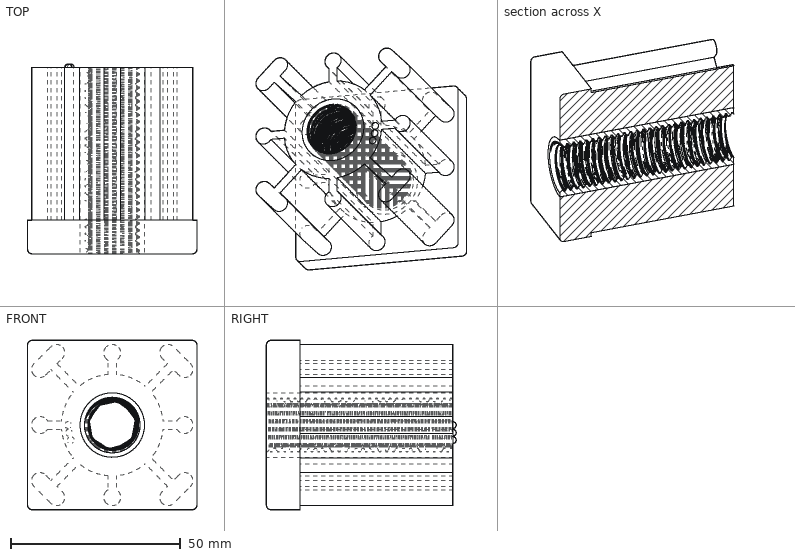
import cadquery as cq
import math


CAP_SIDE = 50.0
CAP_DEPTH = 10.0
CAP_FILLET = 1.5

PLUG_LENGTH = 45.0
PLUG_SIDE = 47.5
HUB_DIAMETER = 30.0
RIB_THICKNESS = 2.5
RIB_BEAD_RADIUS = 2.5
ARM_THICKNESS = 2.5
CORNER_BEAD_RADIUS = 2.4
CORNER_BEAD_SPACING = 7.0

DOT_RADIUS = 1.0
DOT_CIRCLE_RADIUS = 13.0
DOT_COUNT = 3
DOT_STEP_ANGLE = 10.0

INSERT_DIAMETER = 19.0
THREAD_MAJOR_DIAMETER = 16.0
THREAD_MINOR_DIAMETER = 13.9
THREAD_PITCH = 2.0
THREAD_CREST_FLAT = THREAD_PITCH / 4
THREAD_ROOT_FLAT = THREAD_PITCH / 8
FLANK_POINTS = 4
COUNTERSINK_DIAMETER = 16.4

TOTAL_LENGTH = CAP_DEPTH + PLUG_LENGTH
HALF_PLUG = PLUG_SIDE / 2
SIDES = 4
SIDE_ANGLE = 360 / SIDES


def y_cylinder(diameter, start, length):
    """Cylinder along the Y axis from y = start."""
    return cq.Workplane("XZ", origin=(0, start, 0)).circle(diameter / 2).extrude(-length)


def turned(shape, angle):
    """Copy of a shape turned about the Y axis."""
    return shape.rotate((0, 0, 0), (0, 1, 0), angle)


def make_cap():
    """Square plate with rounded corners and a rounded front edge."""
    cap = cq.Workplane("XZ").rect(CAP_SIDE, CAP_SIDE).extrude(-CAP_DEPTH)
    return cap.edges("|Y or <Y").fillet(CAP_FILLET)


def plug_profile():
    """Sketch plane on the back of the cap."""
    return cq.Workplane("XZ", origin=(0, CAP_DEPTH, 0))


def make_side_rib():
    """Thin radial wall towards +Z, ending in a round bead."""
    bead_height = HALF_PLUG - RIB_BEAD_RADIUS
    wall = plug_profile().center(0, bead_height / 2).rect(RIB_THICKNESS, bead_height).extrude(-PLUG_LENGTH)
    bead = plug_profile().center(0, bead_height).circle(RIB_BEAD_RADIUS).extrude(-PLUG_LENGTH)
    return wall.union(bead)


def make_corner_arm():
    """Diagonal wall with a flat head between two beads, modelled towards +Z and then turned."""
    half_spacing = CORNER_BEAD_SPACING / 2
    bead_height = (HALF_PLUG - CORNER_BEAD_RADIUS) * math.sqrt(2) - half_spacing
    head = (
        plug_profile()
        .center(0, bead_height)
        .slot2D(CORNER_BEAD_SPACING + 2 * CORNER_BEAD_RADIUS, 2 * CORNER_BEAD_RADIUS)
        .extrude(-PLUG_LENGTH)
    )
    wall = plug_profile().center(0, bead_height / 2).rect(ARM_THICKNESS, bead_height).extrude(-PLUG_LENGTH)
    return turned(head.union(wall), SIDE_ANGLE / 2)


def make_dots():
    """Balls half sunk in the rear face on an arc that starts at -X and goes down."""
    dots = cq.Workplane("XY")
    for i in range(DOT_COUNT):
        angle = math.radians(180 + i * DOT_STEP_ANGLE)
        center = (DOT_CIRCLE_RADIUS * math.cos(angle), TOTAL_LENGTH, DOT_CIRCLE_RADIUS * math.sin(angle))
        dots = dots.union(cq.Workplane("XY", origin=center).sphere(DOT_RADIUS))
    return dots


def make_plug():
    """Cap, hub, ribs, arms and dots in one piece, bored for the insert."""
    plug = make_cap().union(y_cylinder(HUB_DIAMETER, CAP_DEPTH, PLUG_LENGTH))
    rib = make_side_rib()
    arm = make_corner_arm()
    for i in range(SIDES):
        plug = plug.union(turned(rib, i * SIDE_ANGLE))
        plug = plug.union(turned(arm, i * SIDE_ANGLE))
    plug = plug.union(make_dots())
    return plug.cut(y_cylinder(INSERT_DIAMETER, 0, TOTAL_LENGTH))


def make_threaded_core():
    """Screw-shaped core that fills the threaded bore: its cross-section, twisted along the axis."""
    minor = THREAD_MINOR_DIAMETER / 2
    major = THREAD_MAJOR_DIAMETER / 2
    flank_start = math.pi * THREAD_CREST_FLAT / THREAD_PITCH
    flank_end = math.pi - math.pi * THREAD_ROOT_FLAT / THREAD_PITCH

    def rising_flank(t):
        radius = minor + (major - minor) * t
        angle = flank_start + (flank_end - flank_start) * t
        return radius * math.cos(angle), radius * math.sin(angle)

    def falling_flank(t):
        x, y = rising_flank(1 - t)
        return x, -y

    section = (
        cq.Workplane("XY")
        .moveTo(*falling_flank(1))
        .threePointArc((minor, 0), rising_flank(0))
        .parametricCurve(rising_flank, N=FLANK_POINTS, makeWire=False)
        .threePointArc((-major, 0), falling_flank(0))
        .parametricCurve(falling_flank, N=FLANK_POINTS, makeWire=False)
        .wire()
    )
    core = section.twistExtrude(TOTAL_LENGTH, 360 * TOTAL_LENGTH / THREAD_PITCH)
    return core.rotate((0, 0, 0), (1, 0, 0), -90)


def make_countersink():
    """45 degree cone at the front mouth of the thread."""
    depth = (COUNTERSINK_DIAMETER - THREAD_MINOR_DIAMETER) / 2
    cone = cq.Solid.makeCone(
        COUNTERSINK_DIAMETER / 2, THREAD_MINOR_DIAMETER / 2, depth, dir=cq.Vector(0, 1, 0)
    )
    return cq.Workplane(cone)


def make_insert():
    """Sleeve with an internal thread and a countersink at the front."""
    insert = y_cylinder(INSERT_DIAMETER, 0, TOTAL_LENGTH)
    insert = insert.cut(make_threaded_core(), clean=False)
    return insert.cut(make_countersink(), clean=False)


plug = make_plug()
insert = make_insert()

result = cq.Compound.makeCompound([*plug.solids().vals(), *insert.solids().vals()])